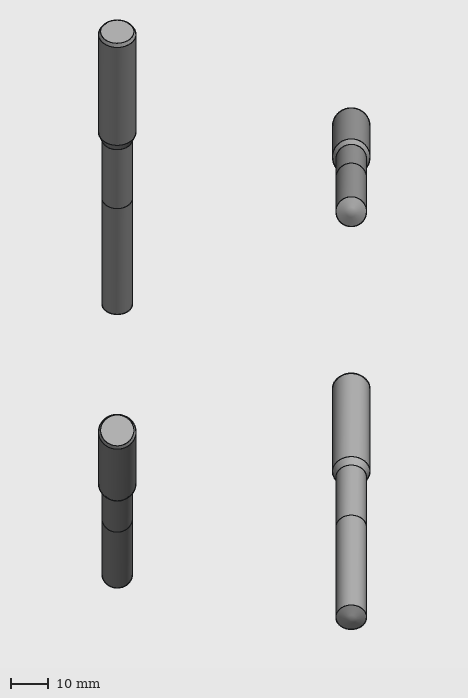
import cadquery as cq
import math

overall_length = 103.0
shank_diameter = 10.0
tool_diameter = 8.17
cutter_length = 41.0
shank_length = 37.5
chamfer_height = 1.0
point_angle = 140.0
chamfer_angle = 30.0
taper_angle = 20.0

shank_radius = shank_diameter / 2
tool_radius = tool_diameter / 2
top_face_radius = shank_radius - chamfer_height * math.tan(math.radians(chamfer_angle))

tip_z = 0.0
point_top_z = tip_z + tool_radius / math.tan(math.radians(point_angle / 2))
joint_z = tip_z + cutter_length
top_z = tip_z + overall_length
chamfer_bottom_z = top_z - chamfer_height
taper_top_z = top_z - shank_length
taper_bottom_z = taper_top_z - (shank_radius - tool_radius) / math.tan(math.radians(taper_angle))


def revolve_profile(profile):
    """Turn a closed (radius, height) profile about the Z axis."""
    return cq.Workplane("XZ").polyline(profile).close().revolve(360, (0, 0), (0, 1))


def make_shank():
    """Chamfered shank that tapers down to a slimmer neck."""
    return revolve_profile([
        (0, joint_z),
        (tool_radius, joint_z),
        (tool_radius, taper_bottom_z),
        (shank_radius, taper_top_z),
        (shank_radius, chamfer_bottom_z),
        (top_face_radius, top_z),
        (0, top_z),
    ])


def make_cutter():
    """Cylindrical cutting body ending in a conical point."""
    return revolve_profile([
        (0, tip_z),
        (tool_radius, point_top_z),
        (tool_radius, joint_z),
        (0, joint_z),
    ])


shank = make_shank()
cutter = make_cutter()

result = cq.Compound.makeCompound([shank.val(), cutter.val()])